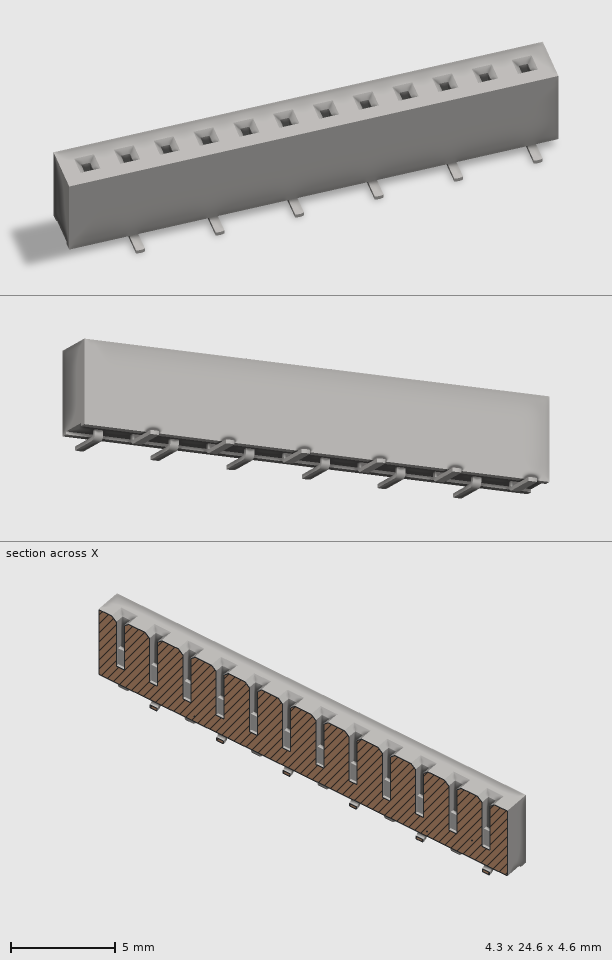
import cadquery as cq
import math

contact_count = 12
pitch = 2.0
end_margin = 1.3
first_contact_y = -(contact_count - 1) * pitch / 2

total_height = 4.6
lead_span = 4.3

housing_width = 2.45
housing_length = (contact_count - 1) * pitch + 2 * end_margin
standoff = 0.35
foot_width = 0.4
channel_depth = 0.15

funnel_size = 1.0
socket_length_x = 0.5
socket_length_y = 0.45
funnel_depth = (funnel_size - socket_length_x) / 2
socket_depth = 3.0

contact_thickness = 0.2
contact_width = 0.45
bend_inner_radius = 0.1
bend_outer_radius = bend_inner_radius + contact_thickness
blade_height = 1.0
tip_bulge = 0.05


def make_housing():
    """Long block with a shallow channel along its underside."""
    block = cq.Workplane("XY").box(
        housing_width, housing_length, total_height - standoff, centered=(True, True, False)
    )
    channel = cq.Workplane("XY").box(
        housing_width - 2 * foot_width, housing_length, channel_depth, centered=(True, True, False)
    )
    return block.cut(channel).translate((0, 0, standoff))


def make_socket(y):
    """Straight blind hole with a funnel-shaped entry."""
    hole = (
        cq.Workplane("XY", origin=(0, y, total_height))
        .rect(socket_length_x, socket_length_y)
        .extrude(-socket_depth)
    )
    funnel = (
        cq.Workplane("XY", origin=(0, y, total_height))
        .rect(funnel_size, funnel_size)
        .workplane(offset=-funnel_depth)
        .rect(socket_length_x, socket_length_y)
        .loft(ruled=True)
    )
    return hole.union(funnel)


def make_contact(y, side):
    """Bent strip: upright blade in the socket and a lead along the board toward side (+1 or -1)."""
    half_thickness = contact_thickness / 2
    blade_top = total_height - socket_depth + blade_height
    bend_x = half_thickness + bend_inner_radius
    bend_z = bend_outer_radius
    diagonal = math.sqrt(0.5)
    tip_x = lead_span / 2

    strip = (
        cq.Workplane("XZ", origin=(0, y, 0))
        .moveTo(-side * half_thickness, blade_top)
        .lineTo(-side * half_thickness, bend_z)
        .threePointArc(
            (side * (bend_x - bend_outer_radius * diagonal), bend_z - bend_outer_radius * diagonal),
            (side * bend_x, 0),
        )
        .lineTo(side * tip_x, 0)
        .lineTo(side * tip_x, contact_thickness)
        .lineTo(side * bend_x, contact_thickness)
        .threePointArc(
            (side * (bend_x - bend_inner_radius * diagonal), bend_z - bend_inner_radius * diagonal),
            (side * half_thickness, bend_z),
        )
        .lineTo(side * half_thickness, blade_top)
        .close()
        .extrude(contact_width / 2, both=True)
    )

    corner_x = tip_x - tip_bulge
    half_width = contact_width / 2
    plan = (
        cq.Workplane("XY", origin=(0, y, 0))
        .moveTo(-side * half_thickness, -half_width)
        .lineTo(side * corner_x, -half_width)
        .threePointArc((side * tip_x, 0), (side * corner_x, half_width))
        .lineTo(-side * half_thickness, half_width)
        .close()
        .extrude(blade_top)
    )
    return strip.intersect(plan)


result = make_housing()
for index in range(contact_count):
    contact_y = first_contact_y + index * pitch
    lead_side = -1 if index % 2 == 0 else 1
    result = result.cut(make_socket(contact_y))
    result = result.union(make_contact(contact_y, lead_side))